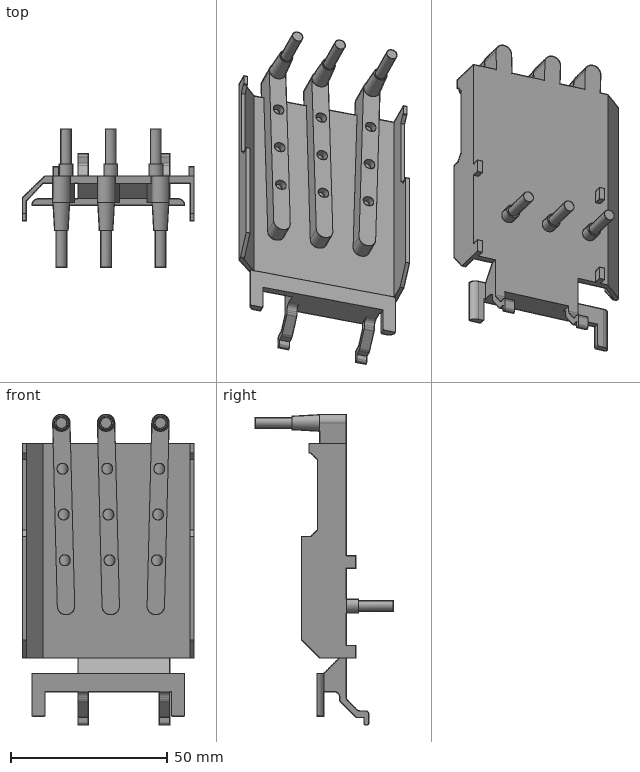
import cadquery as cq
import math


BODY_WIDTH = 55.0
PLATE_HEIGHT = 68.8
PLATE_THICKNESS = 2.4
WALL_THICKNESS = 1.3
WALL_DEPTH = 14.4
FOLD_DEPTH = 7.0
FOLD_START_X = -20.3
INNER_FOLD_DEPTH = 8.1
INNER_FOLD_START_X = -20.9
HALF_WIDTH = BODY_WIDTH / 2

LIP_DEPTH = 12.0
LIP_BOTTOM_Z = 65.7
NOTCH_DEPTH = 9.4
NOTCH_BOTTOM_Z = 39.0
NOTCH_CHAMFER = 2.1
WALL_FOOT_DEPTH = 8.6

TAB_WIDTH = 1.7
TAB_DEPTH = 3.0
TAB_HEIGHT = 4.1
TAB_LEFT_EDGES = (-17.6, HALF_WIDTH - TAB_WIDTH)
TAB_BOTTOMS = (0, 28.8)

ARM_ENDS_X = ((-15.0, -13.5), (-0.7, 0.8), (16.7, 15.2))
ARM_UPPER_Z = 75.3
ARM_LOWER_Z = 16.7
ARM_WIDTH = 5.6
ARM_DEPTH = 8.6
WIRE_DIAMETER = 3.5
WIRE_DEPTH = ARM_DEPTH / 2
HOLE_DIAMETER = 3.5
HOLES_PER_ARM = 3
FRONT_PIN_REACH = 29.3
SLEEVE_REACH = 17.5
SLEEVE_BASE_DIAMETER = 5.4
SLEEVE_TIP_DIAMETER = 4.4
BACK_PIN_REACH = 15.0
BACK_BOSS_REACH = 3.9
BACK_BOSS_DIAMETER = 4.5

FOOT_LEFT = -9.8
FOOT_WIDTH = 29.5
FOOT_DEPTH = 7.3
FOOT_SHOULDER_Z = -4.9
FOOT_BOTTOM_Z = -10.7
HOOK_WIDTH = 3.4
HOOK_THICKNESS = 2.2
HOOK_ROOT_RADIUS = 1.8
HOOK_BOTTOM_Z = -21.4
HOOK_REACH = 7.2
HOOK_SHELF_Z = -16.8
HOOK_SHELF_BOTTOM_Z = -19.0
HOOK_BACK_BEND_Z = -13.1
HOOK_FRONT_BEND_Z = -13.7
HOOK_FINGER_THICKNESS = 1.6
HOOK_TIP_RADIUS = 0.7
HOOK_CORNER_RADIUS = 1.1
HOOK_BEND_RADIUS = 1.2

BRACKET_WIDTH = 49.0
BRACKET_THICKNESS = 2.2
BRACKET_BOTTOM_Z = -18.6
BRACKET_LEG_WIDTH = 4.3
BRACKET_TIP_RADIUS = 0.5


def box(x, y, z, width, depth, height):
    """Box with its lowest corner at (x, y, z)."""
    return cq.Workplane("XY").box(width, depth, height, centered=False).translate((x, y, z))


def cylinder(x, z, y_start, y_end, diameter):
    """Cylinder along Y between two Y positions."""
    plane = cq.Workplane("XZ", origin=(x, y_start, z))
    return plane.circle(diameter / 2).extrude(y_start - y_end)


def side_profile(points):
    """Closed outline in the YZ plane."""
    return cq.Workplane("YZ").polyline(points).close()


def make_body():
    inner_x = HALF_WIDTH - WALL_THICKNESS
    section = [
        (FOLD_START_X, 0),
        (HALF_WIDTH, 0),
        (HALF_WIDTH, -WALL_DEPTH),
        (inner_x, -WALL_DEPTH),
        (inner_x, -PLATE_THICKNESS),
        (INNER_FOLD_START_X, -PLATE_THICKNESS),
        (-inner_x, -INNER_FOLD_DEPTH),
        (-inner_x, -WALL_DEPTH),
        (-HALF_WIDTH, -WALL_DEPTH),
        (-HALF_WIDTH, -FOLD_DEPTH),
    ]
    sheet = cq.Workplane("XY").polyline(section).close().extrude(PLATE_HEIGHT)

    slope_depth = NOTCH_DEPTH + NOTCH_CHAMFER
    foot_chamfer = WALL_DEPTH - WALL_FOOT_DEPTH
    wall_outline = [
        (0, 0),
        (-WALL_FOOT_DEPTH, 0),
        (-WALL_DEPTH, foot_chamfer),
        (-WALL_DEPTH, NOTCH_BOTTOM_Z),
        (-slope_depth, NOTCH_BOTTOM_Z),
        (-NOTCH_DEPTH, NOTCH_BOTTOM_Z + NOTCH_CHAMFER),
        (-NOTCH_DEPTH, LIP_BOTTOM_Z - NOTCH_CHAMFER),
        (-slope_depth, LIP_BOTTOM_Z),
        (-LIP_DEPTH, LIP_BOTTOM_Z),
        (-LIP_DEPTH, PLATE_HEIGHT),
        (0, PLATE_HEIGHT),
    ]
    return sheet.intersect(side_profile(wall_outline).extrude(HALF_WIDTH, both=True))


def make_tabs():
    tabs = cq.Workplane("XY")
    for x in TAB_LEFT_EDGES:
        for z in TAB_BOTTOMS:
            tabs = tabs.union(box(x, 0, z, TAB_WIDTH, TAB_DEPTH, TAB_HEIGHT))
    return tabs


def make_arm(upper_x, lower_x):
    shift_x = lower_x - upper_x
    drop = ARM_UPPER_Z - ARM_LOWER_Z
    length = math.hypot(shift_x, drop)
    tilt = math.degrees(math.atan2(-drop, shift_x))
    middle = ((upper_x + lower_x) / 2, 0, (ARM_UPPER_Z + ARM_LOWER_Z) / 2)
    bar = (
        cq.Workplane("XZ", origin=middle)
        .slot2D(length + ARM_WIDTH, ARM_WIDTH, tilt)
        .extrude(ARM_DEPTH)
    )

    for i in range(1, HOLES_PER_ARM + 1):
        along = i / (HOLES_PER_ARM + 1)
        x = upper_x + along * shift_x
        z = ARM_UPPER_Z - along * drop
        bar = bar.cut(cylinder(x, z, -WIRE_DEPTH, -ARM_DEPTH, HOLE_DIAMETER))
    wire = cq.Workplane(cq.Solid.makeCylinder(
        WIRE_DIAMETER / 2, length,
        cq.Vector(upper_x, -WIRE_DEPTH, ARM_UPPER_Z), cq.Vector(shift_x, 0, -drop),
    ))

    sleeve = (
        cq.Workplane("XZ", origin=(upper_x, -ARM_DEPTH, ARM_UPPER_Z))
        .circle(SLEEVE_BASE_DIAMETER / 2)
        .workplane(offset=SLEEVE_REACH - ARM_DEPTH)
        .circle(SLEEVE_TIP_DIAMETER / 2)
        .loft()
    )
    front_pin = cylinder(upper_x, ARM_UPPER_Z, -WIRE_DEPTH, -FRONT_PIN_REACH, WIRE_DIAMETER)
    back_boss = cylinder(lower_x, ARM_LOWER_Z, BACK_BOSS_REACH, -WIRE_DEPTH, BACK_BOSS_DIAMETER)
    back_pin = cylinder(lower_x, ARM_LOWER_Z, BACK_PIN_REACH, -WIRE_DEPTH, WIRE_DIAMETER)
    return bar.union(wire).union(sleeve).union(front_pin).union(back_boss).union(back_pin)


def make_hook():
    """Hook below the foot block, stepping backwards along a 45 degree slope."""
    finger_y = HOOK_REACH - HOOK_FINGER_THICKNESS
    root = (-HOOK_THICKNESS, FOOT_BOTTOM_Z)
    front_bend = (-HOOK_THICKNESS, HOOK_FRONT_BEND_Z)
    shelf_front = (HOOK_FRONT_BEND_Z - HOOK_SHELF_BOTTOM_Z - HOOK_THICKNESS, HOOK_SHELF_BOTTOM_Z)
    finger_top = (finger_y, HOOK_SHELF_BOTTOM_Z)
    tip_front = (finger_y, HOOK_BOTTOM_Z)
    tip_back = (HOOK_REACH, HOOK_BOTTOM_Z)
    corner = (HOOK_REACH, HOOK_SHELF_Z)
    shelf_back = (HOOK_BACK_BEND_Z - HOOK_SHELF_Z, HOOK_SHELF_Z)
    back_bend = (0, HOOK_BACK_BEND_Z)
    outline = [
        (0, FOOT_SHOULDER_Z),
        (-FOOT_DEPTH, FOOT_SHOULDER_Z),
        (-FOOT_DEPTH, FOOT_BOTTOM_Z),
        root,
        front_bend,
        shelf_front,
        finger_top,
        tip_front,
        tip_back,
        corner,
        shelf_back,
        back_bend,
    ]
    hook = side_profile(outline).extrude(HOOK_WIDTH)

    rounded_corners = [
        (root, HOOK_ROOT_RADIUS),
        (front_bend, HOOK_BEND_RADIUS),
        (shelf_front, HOOK_BEND_RADIUS),
        (tip_front, HOOK_TIP_RADIUS),
        (tip_back, HOOK_TIP_RADIUS),
        (corner, HOOK_CORNER_RADIUS),
        (shelf_back, HOOK_BEND_RADIUS),
        (back_bend, HOOK_BEND_RADIUS),
    ]
    for (y, z), radius in rounded_corners:
        nearest = cq.NearestToPointSelector((HOOK_WIDTH / 2, y, z))
        hook = hook.edges("|X").edges(nearest).fillet(radius)
    return hook


def make_foot():
    block_outline = [
        (0, 0),
        (-PLATE_THICKNESS, 0),
        (-FOOT_DEPTH, FOOT_SHOULDER_Z),
        (-FOOT_DEPTH, FOOT_BOTTOM_Z),
        (0, FOOT_BOTTOM_Z),
    ]
    block = side_profile(block_outline).extrude(FOOT_WIDTH)

    hook = make_hook()
    right_hook = hook.translate((FOOT_WIDTH - HOOK_WIDTH, 0, 0))
    return block.union(hook).union(right_hook).translate((FOOT_LEFT, 0, 0))


def make_bracket():
    half_width = BRACKET_WIDTH / 2
    opening_half_width = half_width - BRACKET_LEG_WIDTH
    back_y = -FOOT_DEPTH
    front_y = back_y - BRACKET_THICKNESS
    height = FOOT_SHOULDER_Z - BRACKET_BOTTOM_Z
    face_outline = [
        (-half_width, FOOT_SHOULDER_Z),
        (half_width, FOOT_SHOULDER_Z),
        (half_width, BRACKET_BOTTOM_Z),
        (opening_half_width, BRACKET_BOTTOM_Z),
        (opening_half_width, FOOT_BOTTOM_Z),
        (-opening_half_width, FOOT_BOTTOM_Z),
        (-opening_half_width, BRACKET_BOTTOM_Z),
        (-half_width, BRACKET_BOTTOM_Z),
    ]
    frame = (
        cq.Workplane("XZ", origin=(0, back_y, 0))
        .polyline(face_outline)
        .close()
        .extrude(BRACKET_THICKNESS)
    )
    frame = frame.faces("<Z").edges("|Y").fillet(BRACKET_TIP_RADIUS)

    flat_half_width = half_width - BRACKET_THICKNESS
    arc_reach = BRACKET_THICKNESS * math.sqrt(0.5)
    plan = (
        cq.Workplane("XY", origin=(0, 0, BRACKET_BOTTOM_Z))
        .moveTo(-half_width, front_y)
        .lineTo(half_width, front_y)
        .threePointArc((flat_half_width + arc_reach, front_y + arc_reach), (flat_half_width, back_y))
        .lineTo(-flat_half_width, back_y)
        .threePointArc((-flat_half_width - arc_reach, front_y + arc_reach), (-half_width, front_y))
        .close()
        .extrude(height)
    )
    return frame.intersect(plan)


result = make_body().union(make_tabs()).union(make_foot()).union(make_bracket())
for upper_x, lower_x in ARM_ENDS_X:
    result = result.union(make_arm(upper_x, lower_x))